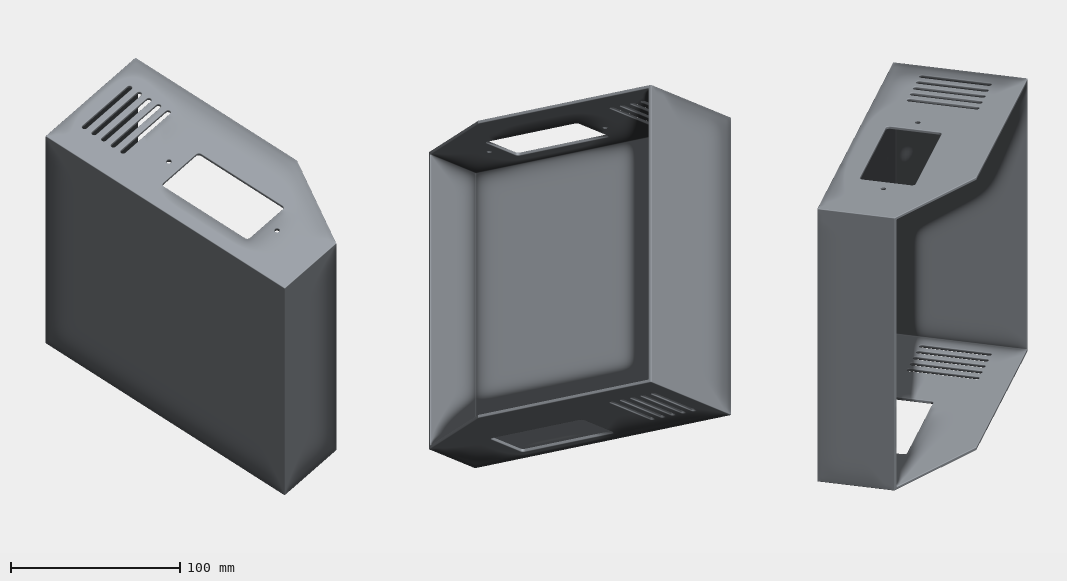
import cadquery as cq
import math

length = 186.0
depth = 82.0
height = 184.0
sheet = 2.0
edge_radius = 0.48

slope_start_x = 32.5
slope_angle = 30.0

window_length = 67.1
window_width = 33.7
window_x = 17.7
window_y = -9.0
window_corner_radius = 2.0
bottom_window_shift = -5.0
screw_diameter = 3.2
screw_spacing = 84.0

slot_count = 5
slot_length = 43.9
slot_width = 3.2
slot_row_span = 30.0
first_slot_x = -80.2

slot_pitch = slot_row_span / (slot_count - 1)
half_length = length / 2
half_depth = depth / 2
half_height = height / 2
top_plate_z = half_height - sheet / 2
slope_end_y = half_depth - (half_length - slope_start_x) * math.tan(math.radians(slope_angle))


def housing():
    """Folded housing with its back and sloped corner left open."""
    outline = [
        (-half_length, -half_depth),
        (half_length, -half_depth),
        (half_length, slope_end_y),
        (slope_start_x, half_depth),
        (-half_length, half_depth),
    ]
    block = cq.Workplane("XY").workplane(offset=-half_height).polyline(outline).close().extrude(height)
    cavity = cq.Workplane("XY").box(length - 2 * sheet, depth, height - 2 * sheet)
    return block.cut(cavity.translate((0, sheet, 0)))


def window_cutter(center_y, plate_z):
    """Rounded rectangle through the plate centred at plate_z."""
    blank = cq.Workplane("XY").box(window_length, window_width, 2 * sheet)
    return blank.edges("|Z").fillet(window_corner_radius).translate((window_x, center_y, plate_z))


def vent_slots():
    """Row of slots through both the top and the bottom plate."""
    centers = [(first_slot_x + i * slot_pitch, 0) for i in range(slot_count)]
    return (
        cq.Workplane("XY")
        .workplane(offset=-height)
        .pushPoints(centers)
        .slot2D(slot_length, slot_width, 90)
        .extrude(2 * height)
    )


def screw_holes():
    """Pair of holes beside the window, through the top plate only."""
    return (
        cq.Workplane("XY")
        .workplane(offset=half_height - 2 * sheet)
        .center(window_x, window_y)
        .rarray(screw_spacing, 1.9, 2, 1)
        .circle(screw_diameter / 2)
        .extrude(3 * sheet)
    )


shell = (
    housing()
    .cut(window_cutter(window_y, top_plate_z))
    .cut(window_cutter(window_y + bottom_window_shift, -top_plate_z))
    .cut(vent_slots())
)

result = shell.edges().fillet(edge_radius).cut(screw_holes())